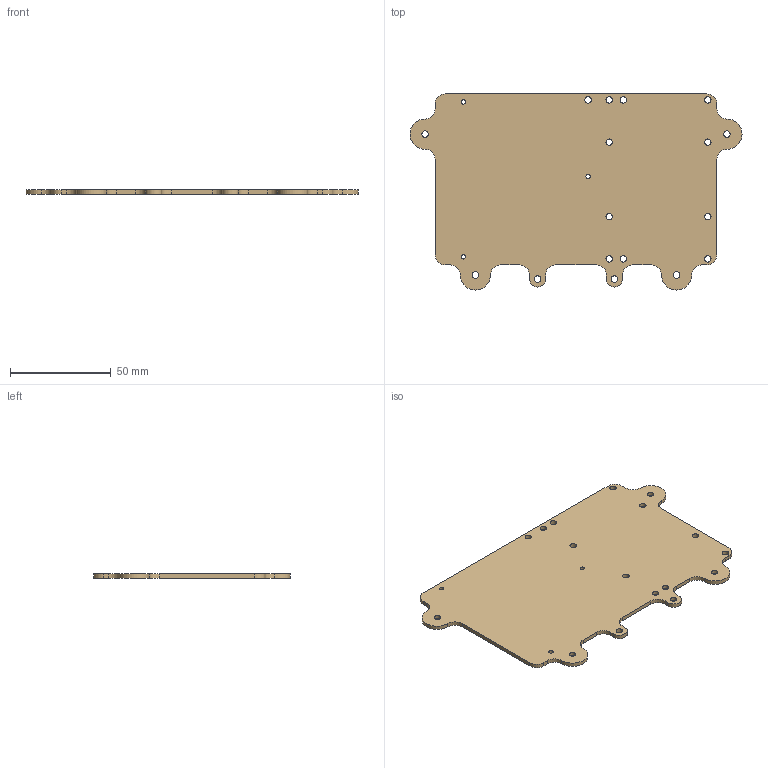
import cadquery as cq
import math

PLATE_LENGTH = 140.0
PLATE_WIDTH = 85.0
THICKNESS = 2.0
CORNER_RADIUS = 5.0
NECK_FILLET = 5.0

HALF_LENGTH = PLATE_LENGTH / 2
HALF_WIDTH = PLATE_WIDTH / 2

LARGE_LUG_RADIUS = 7.5
LARGE_LUG_REACH = 5.0
SIDE_LUG_Y = 22.5
FRONT_LUG_X = 50.0

SMALL_LUG_RADIUS = 4.0
SMALL_LUG_REACH = 7.0
SMALL_LUG_X = 19.1

SCREW_DIAMETER = 3.2
PILOT_DIAMETER = 2.1

SCREW_COLUMNS_X = (16.5, 65.5)
SCREW_EDGE_DISTANCE = 3.0
OUTER_ROW_Y = HALF_WIDTH - SCREW_EDGE_DISTANCE
INNER_ROW_Y = 18.5

PAIRED_SCREW_X = 23.5
MIDDLE_X = 6.0

PILOT_COLUMN_X = -56.0
PILOT_EDGE_DISTANCE = 4.0
PILOT_ROW_Y = HALF_WIDTH - PILOT_EDGE_DISTANCE
CENTER_PILOT_Y = 1.5

LUG_ANGLE_LEFT = 180
LUG_ANGLE_FRONT = 270
LUG_ANGLE_RIGHT = 0

LUGS = [
    (-HALF_LENGTH, SIDE_LUG_Y, LUG_ANGLE_LEFT, LARGE_LUG_RADIUS, LARGE_LUG_REACH),
    (HALF_LENGTH, SIDE_LUG_Y, LUG_ANGLE_RIGHT, LARGE_LUG_RADIUS, LARGE_LUG_REACH),
]
for side in (-1, 1):
    LUGS.append((side * FRONT_LUG_X, -HALF_WIDTH, LUG_ANGLE_FRONT, LARGE_LUG_RADIUS, LARGE_LUG_REACH))
    LUGS.append((side * SMALL_LUG_X, -HALF_WIDTH, LUG_ANGLE_FRONT, SMALL_LUG_RADIUS, SMALL_LUG_REACH))


def make_plate():
    """Rectangular plate with rounded corners."""
    plate = cq.Workplane("XY").box(PLATE_LENGTH, PLATE_WIDTH, THICKNESS, centered=(True, True, False))
    return plate.edges("|Z").fillet(CORNER_RADIUS)


def make_lug(root_x, root_y, angle, radius, reach):
    """Round-ended lug with flared root and a screw hole, pointing outward at the given angle."""
    root_half = radius + NECK_FILLET
    arc_inset = NECK_FILLET * (1 - math.cos(math.radians(45)))
    lug = (
        cq.Workplane("XY")
        .moveTo(-NECK_FILLET, -root_half)
        .lineTo(0, -root_half)
        .threePointArc((arc_inset, -radius - arc_inset), (NECK_FILLET, -radius))
    )
    if reach > NECK_FILLET:
        lug = lug.lineTo(reach, -radius)
    lug = lug.threePointArc((reach + radius, 0), (reach, radius))
    if reach > NECK_FILLET:
        lug = lug.lineTo(NECK_FILLET, radius)
    lug = (
        lug.threePointArc((arc_inset, radius + arc_inset), (0, root_half))
        .lineTo(-NECK_FILLET, root_half)
        .close()
        .extrude(THICKNESS)
    )
    hole = cq.Workplane("XY").center(reach, 0).circle(SCREW_DIAMETER / 2).extrude(THICKNESS)
    return lug.cut(hole).rotate((0, 0, 0), (0, 0, 1), angle).translate((root_x, root_y, 0))


def drill(body, points, diameter):
    """Cut through holes of one diameter at the given XY points."""
    holes = cq.Workplane("XY").pushPoints(points).circle(diameter / 2).extrude(THICKNESS)
    return body.cut(holes)


def screw_points():
    """Centres of the screw holes in the plate body."""
    points = [(MIDDLE_X, OUTER_ROW_Y)]
    for side in (-1, 1):
        points.append((PAIRED_SCREW_X, side * OUTER_ROW_Y))
        for x in SCREW_COLUMNS_X:
            points.append((x, side * OUTER_ROW_Y))
            points.append((x, side * INNER_ROW_Y))
    return points


def pilot_points():
    """Centres of the small pilot holes."""
    return [
        (PILOT_COLUMN_X, PILOT_ROW_Y),
        (PILOT_COLUMN_X, -PILOT_ROW_Y),
        (MIDDLE_X, CENTER_PILOT_Y),
    ]


body = make_plate()
for lug_values in LUGS:
    body = body.union(make_lug(*lug_values))
body = body.clean()
body = drill(body, screw_points(), SCREW_DIAMETER)

result = drill(body, pilot_points(), PILOT_DIAMETER)